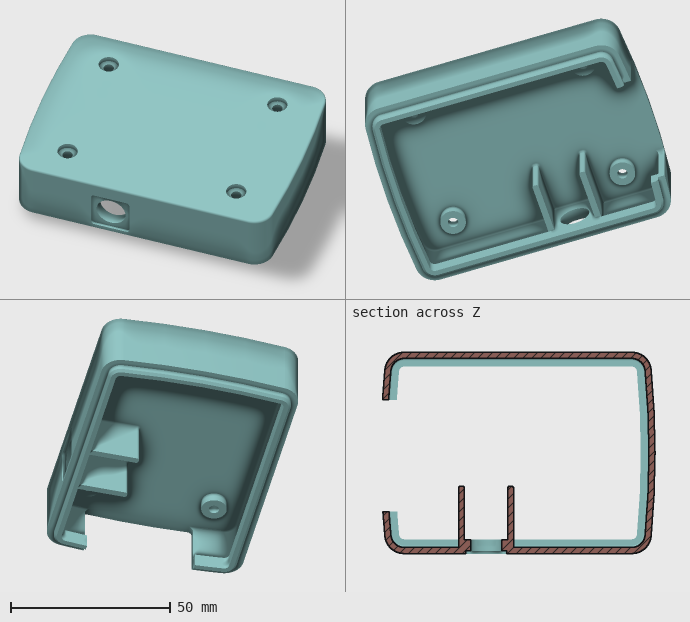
import cadquery as cq

length = 86.3
width = 63.5
height = 21.4
front_y = -width / 2

side_bow = 1.8
corner_radius = 6.2
top_edge_radius = 0.7

wall = 2.1
roof = 2.4
inner_fillet = 0.6
ceiling_z = height - roof

lip_drop = 2.5
lip_top_z = 4.75
lip_outer_inset = 2.25
lip_inner_inset = 4.6
lip_chamfer = 0.8

screw_x = 28.0
screw_y = 20.3
screw_diameter = 3.3
counterbore_diameter = 6.4
counterbore_depth = 1.7
boss_diameter = 8.0
boss_bottom_z = 15.9

opening_width = 35.0
opening_y = -0.9
opening_corner_radius = 1.4
opening_reach = 10.4

jack_x = -10.0
jack_z = 10.2
jack_diameter = 9.6
recess_size = 12.7
recess_depth = 0.9
recess_corner_radius = 1.0

pocket_width = 13.5
rib_thickness = 2.0
rib_end_y = -10.4
rib_end_radius = 0.8


def bowed_outline(inset, z):
    """Case outline moved inward by inset, drawn at height z."""
    end_x = length / 2 - side_bow
    sharp_outline = (
        cq.Workplane("XY")
        .moveTo(-end_x, front_y)
        .lineTo(end_x, front_y)
        .threePointArc((length / 2, 0), (end_x, -front_y))
        .lineTo(-end_x, -front_y)
        .threePointArc((-length / 2, 0), (-end_x, front_y))
        .close()
        .val()
    )
    outline = sharp_outline.fillet2D(corner_radius, sharp_outline.Vertices())
    if inset > 0:
        outline = outline.offset2D(-inset)[0]
    return cq.Workplane("XY").add(outline.translate(cq.Vector(0, 0, z))).toPending()


def box_between(x_range, y_range, z_range):
    """Box spanning the given low and high limits."""
    (x0, x1), (y0, y1), (z0, z1) = x_range, y_range, z_range
    return cq.Workplane("XY").box(x1 - x0, y1 - y0, z1 - z0, centered=False).translate((x0, y0, z0))


def make_outer_body():
    case = bowed_outline(0, lip_drop).extrude(height - lip_drop)
    case = case.faces(">Z").edges().fillet(top_edge_radius)
    lip = bowed_outline(lip_outer_inset, 0).extrude(lip_top_z)
    lip = lip.faces("<Z").edges().chamfer(lip_chamfer)
    return case.union(lip)


def make_jack_holder():
    """Pad and two round-ended ribs that stay solid inside the cavity."""
    pocket_half = pocket_width / 2
    outer_half = pocket_half + rib_thickness
    z_range = (lip_top_z, ceiling_z)
    holder = box_between(
        (jack_x - pocket_half, jack_x + pocket_half), (front_y, front_y + lip_inner_inset), z_range
    )
    for rib_x in (jack_x - outer_half, jack_x + pocket_half):
        rib = box_between((rib_x, rib_x + rib_thickness), (front_y, rib_end_y), z_range)
        holder = holder.union(rib.faces(">Y").edges("|Z").fillet(rib_end_radius))
    return holder


def make_chamber():
    """Space between lip and roof, rounded where it meets them."""
    chamber = bowed_outline(wall, lip_top_z).extrude(ceiling_z - lip_top_z)
    chamber = chamber.faces("<Z").edges().fillet(inner_fillet)
    chamber = chamber.cut(make_jack_holder())
    return chamber.faces(">Z").edges().fillet(inner_fillet)


def make_lip_bore():
    return bowed_outline(lip_inner_inset, 0).extrude(lip_top_z)


def make_side_opening():
    y_range = (opening_y - opening_width / 2, opening_y + opening_width / 2)
    opening = box_between((-length / 2, -length / 2 + opening_reach), y_range, (0, ceiling_z))
    return opening.faces(">Z").edges("|X").fillet(opening_corner_radius)


def make_jack_cutout():
    front_plane = cq.Workplane("XZ", origin=(jack_x, front_y, jack_z))
    recess = front_plane.rect(recess_size, recess_size).extrude(-recess_depth)
    recess = recess.edges("|Y").fillet(recess_corner_radius)
    hole = front_plane.circle(jack_diameter / 2).extrude(-lip_inner_inset)
    return recess.union(hole)


def screw_cylinders(diameter, bottom_z, top_z):
    """One upright cylinder at each of the four screw positions."""
    return (
        cq.Workplane("XY", origin=(0, 0, bottom_z))
        .rect(2 * screw_x, 2 * screw_y, forConstruction=True)
        .vertices()
        .circle(diameter / 2)
        .extrude(top_z - bottom_z)
    )


body = make_outer_body()
body = body.cut(make_chamber())
body = body.cut(make_lip_bore())
body = body.cut(make_side_opening())
body = body.cut(make_jack_cutout())

body = body.union(screw_cylinders(boss_diameter, boss_bottom_z, height - roof / 2))
body = body.cut(screw_cylinders(screw_diameter, boss_bottom_z, height))
result = body.cut(screw_cylinders(counterbore_diameter, height - counterbore_depth, height))